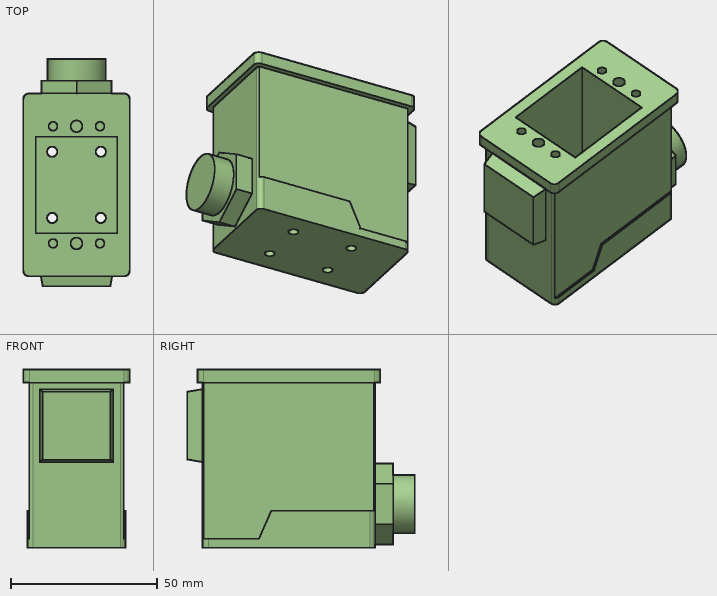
import cadquery as cq
import math

total_height = 61.0
flange_thickness = 4.5
body_height = total_height - flange_thickness

flange_width = 36.4
flange_length = 62.5
flange_corner_radius = 2.0

body_width = 33.6
body_length = 59.0
body_corner_radius = 1.9
relief_depth = 0.6
skirt_high = 12.7
skirt_low = 3.2
skirt_ramp_top_y = -6.0
skirt_ramp_bottom_y = -10.2

pocket_width = 28.0
pocket_length = 33.0
floor_thickness = 3.0
floor_hole_diameter = 3.4
floor_hole_spacing_x = 16.6
floor_hole_spacing_y = 22.6

screw_hole_diameter = 3.0
screw_hole_spacing = 16.0
center_hole_diameter = 4.0
hole_row_spacing = 40.0
blind_hole_depth = 10.0

block_size = 25.0
block_center_z = 41.8
block_taper_angle = 10.0
block_tip_y = -34.7

gland_center_z = 15.0
nut_across_flats = 24.0
nut_length = 6.1
sleeve_diameter = 20.0
sleeve_length = 7.4


def rounded_box(width, length, height, corner_radius, bottom_z):
    """Box on the Z axis with rounded vertical edges."""
    box = cq.Workplane("XY", origin=(0, 0, bottom_z)).rect(width, length).extrude(height)
    return box.edges("|Z").fillet(corner_radius)


def side_relief(side):
    """Material removed from one long side (side is -1 or +1) above the skirt."""
    end_y = body_length / 2
    inner_x = body_width / 2 - relief_depth
    outline = [
        (end_y, skirt_high),
        (skirt_ramp_top_y, skirt_high),
        (skirt_ramp_bottom_y, skirt_low),
        (-end_y, skirt_low),
        (-end_y, body_height),
        (end_y, body_height),
    ]
    return (
        cq.Workplane("YZ", origin=(side * inner_x, 0, 0))
        .polyline(outline)
        .close()
        .extrude(side * relief_depth)
    )


def make_body():
    body = rounded_box(body_width, body_length, body_height, body_corner_radius, 0)
    for side in (-1, 1):
        body = body.cut(side_relief(side))
    return body


def make_flange():
    return rounded_box(flange_width, flange_length, flange_thickness, flange_corner_radius, body_height)


def make_block():
    base_y = -body_length / 2
    return (
        cq.Workplane("XZ", origin=(0, base_y, block_center_z))
        .rect(block_size, block_size)
        .extrude(base_y - block_tip_y, taper=block_taper_angle)
    )


def make_gland():
    """Hexagon with flats facing +-X, followed by the sleeve."""
    base_y = body_length / 2
    nut_across_corners = nut_across_flats / math.cos(math.radians(30))
    nut = (
        cq.Workplane("XZ", origin=(0, base_y, gland_center_z))
        .transformed(rotate=(0, 0, 90))
        .polygon(6, nut_across_corners)
        .extrude(-nut_length)
    )
    sleeve = (
        cq.Workplane("XZ", origin=(0, base_y + nut_length, gland_center_z))
        .circle(sleeve_diameter / 2)
        .extrude(-sleeve_length)
    )
    return nut.union(sleeve)


def make_pocket():
    """Rectangular pocket together with the four holes through its floor."""
    pocket = (
        cq.Workplane("XY", origin=(0, 0, floor_thickness))
        .rect(pocket_width, pocket_length)
        .extrude(total_height - floor_thickness)
    )
    floor_holes = (
        cq.Workplane("XY")
        .rarray(floor_hole_spacing_x, floor_hole_spacing_y, 2, 2)
        .circle(floor_hole_diameter / 2)
        .extrude(total_height)
    )
    return pocket.union(floor_holes)


def make_blind_holes():
    top = cq.Workplane("XY", origin=(0, 0, total_height))
    screw_holes = (
        top.rarray(screw_hole_spacing, hole_row_spacing, 2, 2)
        .circle(screw_hole_diameter / 2)
        .extrude(-blind_hole_depth)
    )
    center_holes = (
        top.rarray(1, hole_row_spacing, 1, 2)
        .circle(center_hole_diameter / 2)
        .extrude(-blind_hole_depth)
    )
    return screw_holes.union(center_holes)


result = (
    make_body()
    .union(make_flange())
    .union(make_block())
    .union(make_gland())
    .cut(make_pocket())
    .cut(make_blind_holes())
)